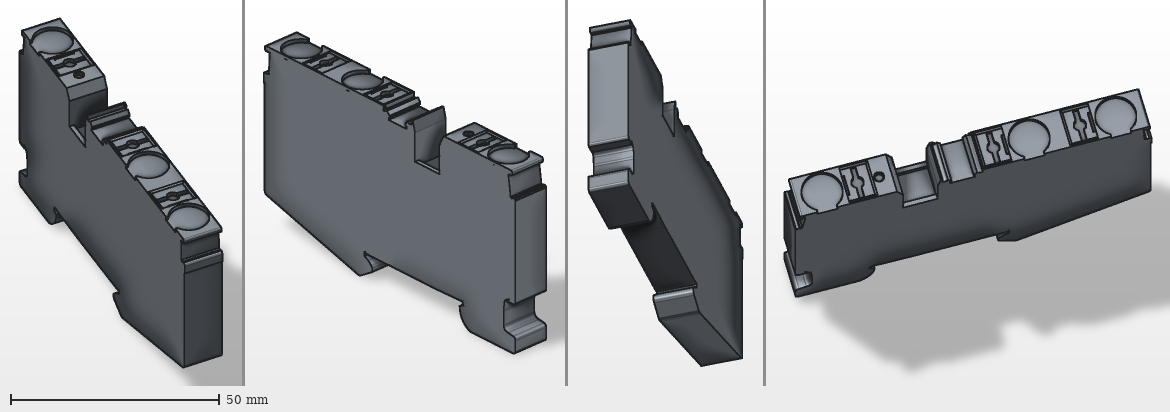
import cadquery as cq
import math

length = 88.9
width = 10.1
height = 49.6

wire_centers = (8.0, 59.65, 81.25)
wire_diameter = 10.0
wire_center_y = 4.9
wire_depth = 1.1
wire_mouth = 5.0

pocket_distance = 5.6
tool_sides = (1, -1, -1)
pocket_length = 7.0
pocket_front = 0.4
pocket_back = 9.8
pocket_depth = 0.4
pocket_draft = 0.5
key_offset = 3.3
key_diameter = 3.0
key_slit = 1.25
key_depth = 1.2
relief_width = 0.6
relief_depth = 0.9
relief_front = 2.5
relief_back = 7.6

test_hole_x = 22.2
test_hole_diameter = 2.1
test_hole_depth = 1.1
test_hole_chamfer = 0.2

bridge_left = 26.85
bridge_right = 35.5
bridge_floor = 38.7
bridge_flare_z = 46.7
recess_depth = 1.3
recess_margin = 1.25

label_middle = 41.7
label_half_opening = 5.0
label_shelf = 48.3
label_floor = 46.4
label_ramp = [(label_half_opening, label_shelf), (4.3, label_shelf), (3.65, 48.7)]
label_catch = [(2.8, 47.65), (2.8, 47.2), (3.1, 46.9), (3.1, label_floor)]
hook_reach = 0.7
hook_thickness = 0.45
hook_tip_drop = 0.5
hook_root_drop = 0.8

lip_left = 1.2
lip_right = 88.45
lip_bottom = 48.2
lip_round = 0.45
shoulder_z = 42.3
shoulder_dip = 0.3
shoulder_bevel_width = 0.2
shoulder_bevel_height = 0.45
shoulder_round = 0.6
right_band_bottom = 39.4
right_band_step = 0.3

seat_left = 18.8
seat_right = 53.3
seat_high = 7.1
seat_low = 6.85
hook_throat_z = 6.05
release_wall = 4.2
release_bottom = 5.0
release_round = 1.5
release_top = 13.4
foot_top = 4.7
foot_round = 0.9


def lines(outline, points):
    for x, z in points:
        outline = outline.lineTo(x, z)
    return outline


def round_corner(outline, start, corner, end):
    """Line to start, then a quarter round that replaces the corner and stops at end."""
    bulge = 1 - math.sqrt(0.5)
    middle = [c + bulge * (s + e - 2 * c) for s, c, e in zip(start, corner, end)]
    return outline.lineTo(*start).threePointArc(tuple(middle), end)


def label_points(side, points):
    return [(label_middle + side * offset, z) for offset, z in points]


def add_label_groove(outline):
    """Groove from the left rim, down across the floor and up to the right rim."""
    rim = (label_half_opening, height)
    outline = lines(outline, label_points(-1, [rim, label_ramp[0]]))
    outline = outline.threePointArc(*label_points(-1, label_ramp[1:]))
    outline = lines(outline, label_points(-1, label_catch))
    outline = lines(outline, label_points(1, label_catch[::-1] + label_ramp[-1:]))
    outline = outline.threePointArc(*label_points(1, label_ramp[1::-1]))
    return lines(outline, label_points(1, [rim]))


def add_top_edge(outline):
    outline = lines(outline, [
        (25.3, height),
        (bridge_left, bridge_flare_z),
        (bridge_left, bridge_floor),
        (bridge_right, bridge_floor),
        (bridge_right, bridge_flare_z),
        (36.3, height),
    ])
    return add_label_groove(outline)


def add_right_end(outline):
    outline = round_corner(
        outline,
        (lip_right - lip_round, height),
        (lip_right, height),
        (lip_right, height - lip_round),
    )
    outline = round_corner(
        outline,
        (lip_right, lip_bottom + lip_round),
        (lip_right, lip_bottom),
        (lip_right - lip_round, lip_bottom),
    )
    outline = lines(outline, [
        (86.85, lip_bottom),
        (87.1, shoulder_z),
        (87.6, shoulder_z - shoulder_dip),
    ])
    outline = round_corner(
        outline,
        (length - shoulder_round, shoulder_z),
        (length, shoulder_z),
        (length, shoulder_z - shoulder_round),
    )
    lower_side = length - right_band_step
    outline = lines(outline, [
        (length, right_band_bottom),
        (lower_side, right_band_bottom - right_band_step),
        (lower_side, 10.2),
    ])
    return outline.threePointArc((88.4, 9.4), (87.65, 9.0))


def add_rail_side(outline):
    outline = outline.lineTo(56.0, 0.2)
    outline = outline.threePointArc((55.3, 0.0), (54.6, 0.2))
    outline = outline.lineTo(51.1, 2.3)
    outline = outline.threePointArc((50.5, 3.3), (50.9, 4.4))

    outline = lines(outline, [
        (52.0, 5.3),
        (seat_right, hook_throat_z),
        (seat_right, seat_high),
        (52.4, seat_low),
        (28.45, seat_low),
        (seat_left, seat_high),
        (18.5, hook_throat_z),
        (19.7, 5.5),
    ])

    outline = outline.threePointArc((18.6, 2.0), (15.9, 0.0))
    outline = round_corner(outline, (foot_round, 0.0), (0.0, 0.0), (0.0, foot_round))
    return round_corner(
        outline,
        (0.0, foot_top - foot_round),
        (0.0, foot_top),
        (foot_round, foot_top),
    )


def add_left_end(outline):
    outline = round_corner(
        outline,
        (release_wall - release_round, release_bottom),
        (release_wall, release_bottom),
        (release_wall, release_bottom + release_round),
    )
    outline = lines(outline, [
        (release_wall, 10.2),
        (4.1, 10.85),
        (3.9, 12.7),
    ])
    outline = outline.threePointArc((3.4, 13.6), (2.3, 14.1))
    outline = lines(outline, [
        (2.85, release_top),
        (0.5, release_top),
    ])
    outline = outline.threePointArc((0.2, 13.7), (0.0, 14.2))

    outline = lines(outline, [
        (0.0, shoulder_z - shoulder_bevel_height),
        (shoulder_bevel_width, shoulder_z),
        (1.0, shoulder_z),
        (1.25, shoulder_z - shoulder_dip),
        (1.7, shoulder_z),
        (2.5, 48.0),
        (2.2, lip_bottom),
    ])
    outline = round_corner(
        outline,
        (lip_left + lip_round, lip_bottom),
        (lip_left, lip_bottom),
        (lip_left, lip_bottom + lip_round),
    )
    return round_corner(
        outline,
        (lip_left, height - lip_round),
        (lip_left, height),
        (lip_left + lip_round, height),
    )


def housing():
    """Solid housing, its XZ outline drawn clockwise from the top left corner."""
    outline = cq.Workplane("XZ").moveTo(lip_left + lip_round, height)
    outline = add_top_edge(outline)
    outline = add_right_end(outline)
    outline = add_rail_side(outline)
    outline = add_left_end(outline)
    return outline.close().extrude(-width)


def box_between(x_range, y_range, z_range):
    sizes = [high - low for low, high in (x_range, y_range, z_range)]
    corner = (x_range[0], y_range[0], z_range[0])
    return cq.Workplane("XY").box(*sizes, centered=False).translate(corner)


def disc_cut(x, y, diameter, bottom, top):
    return cq.Workplane("XY", origin=(x, y, bottom)).circle(diameter / 2).extrude(top - bottom)


def wire_entry(x):
    bottom = height - wire_depth
    bore = disc_cut(x, wire_center_y, wire_diameter, bottom, height)
    half = wire_mouth / 2
    mouth = box_between((x - half, x + half), (0, wire_center_y), (bottom, height))
    return bore.union(mouth)


def tool_pocket(wire_x, side):
    """Shallow pocket with three sloping walls, a keyhole and a wedge-shaped relief."""
    near = wire_x + side * pocket_distance
    far = near + side * pocket_length
    floor = height - pocket_depth

    floor_corners = [
        (near, pocket_front + pocket_draft),
        (far - side * pocket_draft, pocket_front + pocket_draft),
        (far - side * pocket_draft, pocket_back - pocket_draft),
        (near, pocket_back - pocket_draft),
    ]
    rim_corners = [
        (near, pocket_front),
        (far, pocket_front),
        (far, pocket_back),
        (near, pocket_back),
    ]
    pocket = (
        cq.Workplane("XY", origin=(0, 0, floor))
        .polyline(floor_corners).close()
        .workplane(offset=pocket_depth)
        .polyline(rim_corners).close()
        .loft(ruled=True)
    )

    key_x = near + side * key_offset
    key_bottom = floor - key_depth
    key_y_range = (pocket_front + pocket_draft, pocket_back - pocket_draft)
    key_y = (pocket_front + pocket_back) / 2
    slit_x_range = (key_x - key_slit / 2, key_x + key_slit / 2)
    slit = box_between(slit_x_range, key_y_range, (key_bottom, floor))
    eye = disc_cut(key_x, key_y, key_diameter, key_bottom, floor)

    inner = near + side * relief_width
    relief = (
        cq.Workplane("XZ", origin=(0, relief_back, 0))
        .polyline([(near, floor), (inner, floor), (inner, floor - relief_depth)]).close()
        .extrude(relief_back - relief_front)
    )
    return pocket.union(slit).union(eye).union(relief)


def label_hook(side):
    """Small overhanging hook at the back of the label groove."""
    root = label_middle + side * label_half_opening
    tip = root - side * hook_reach
    return (
        cq.Workplane("XZ", origin=(0, width, 0))
        .polyline([
            (root, height),
            (tip, height - hook_tip_drop),
            (root, height - hook_root_drop),
        ]).close()
        .extrude(hook_thickness)
    )


result = housing()

for side in (-1, 1):
    result = result.union(label_hook(side))

bridge_recess = box_between(
    (bridge_left, bridge_right),
    (recess_margin, width - recess_margin),
    (bridge_floor - recess_depth, bridge_floor),
)
result = result.cut(bridge_recess)

for wire_x, side in zip(wire_centers, tool_sides):
    result = result.cut(wire_entry(wire_x))
    result = result.cut(tool_pocket(wire_x, side))

test_hole = disc_cut(test_hole_x, wire_center_y, test_hole_diameter, height - test_hole_depth, height)
result = result.cut(test_hole)
test_hole_rim = cq.Solid.makeCone(
    test_hole_diameter / 2,
    test_hole_diameter / 2 + test_hole_chamfer,
    test_hole_chamfer,
    pnt=cq.Vector(test_hole_x, wire_center_y, height - test_hole_chamfer),
)
result = result.cut(cq.Workplane(test_hole_rim))